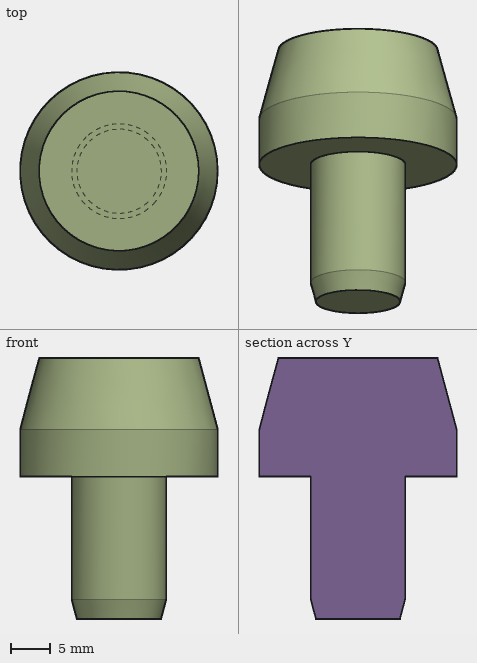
import cadquery as cq
import math

head_diameter = 25.0
rim_height = 6.0
head_taper_height = 9.0
shank_diameter = 12.0
shank_length = 18.0
lead_in_height = 2.5
taper_angle = 15.0

taper_slope = math.tan(math.radians(taper_angle))
head_radius = head_diameter / 2
head_top_radius = head_radius - head_taper_height * taper_slope
shank_radius = shank_diameter / 2
shank_tip_radius = shank_radius - lead_in_height * taper_slope
head_top_z = rim_height + head_taper_height


def revolved_pin():
    """Half profile in the XZ plane, turned about Z; the head seats at Z = 0."""
    profile = [
        (0, -shank_length),
        (shank_tip_radius, -shank_length),
        (shank_radius, lead_in_height - shank_length),
        (shank_radius, 0),
        (head_radius, 0),
        (head_radius, rim_height),
        (head_top_radius, head_top_z),
        (0, head_top_z),
    ]
    return cq.Workplane("XZ").polyline(profile).close().revolve(360, (0, 0), (0, 1))


result = revolved_pin()